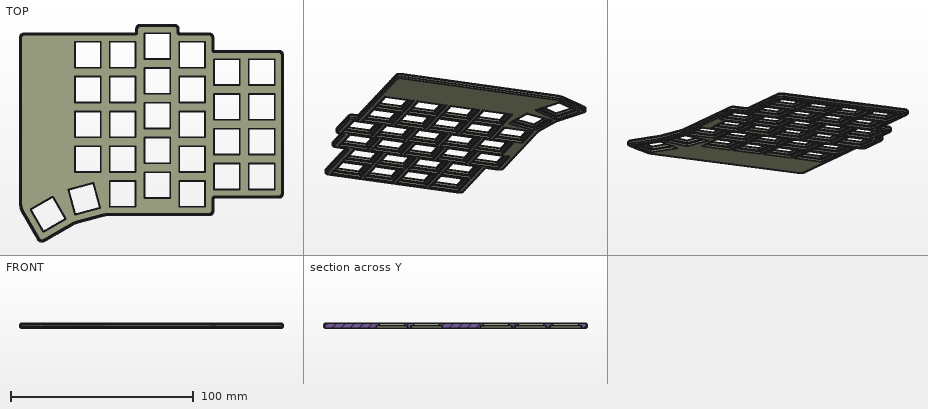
import cadquery as cq
import math

plate_width = 144.25
plate_depth = 118.98
plate_thickness = 2.8
key_pitch = 19.05
key_opening = 14.0
clip_thickness = 1.5
clip_relief = 17.0
edge_margin = 11.75
corner_radius = 2.5
inner_radius = 0.5
bend_radius = 10.0
edge_chamfer = 0.8

inner_thumb_offset = (-21.0, -2.67)
inner_thumb_angle = 15
outer_thumb_offset = (-40.8, -11.13)
outer_thumb_angle = 30

small_stagger = key_pitch / 4
large_stagger = 3 * small_stagger
columns = [
    (small_stagger, 4),
    (small_stagger, 5),
    (0, 5),
    (small_stagger, 5),
    (large_stagger, 4),
    (large_stagger, 4),
]
last_column_x = plate_width - edge_margin
first_column_x = last_column_x - (len(columns) - 1) * key_pitch
top_key_y = plate_depth - edge_margin


def column_x(index):
    return first_column_x + index * key_pitch


def key_y(stagger, row):
    return top_key_y - stagger - row * key_pitch


thumb_base_x = column_x(1)
thumb_base_y = key_y(small_stagger, 4)
inner_thumb = (thumb_base_x + inner_thumb_offset[0], thumb_base_y + inner_thumb_offset[1])
outer_thumb = (thumb_base_x + outer_thumb_offset[0], thumb_base_y + outer_thumb_offset[1])

peak_left_x = column_x(2) - edge_margin
peak_right_x = column_x(2) + edge_margin
step_x = column_x(3) + edge_margin
shoulder_y = top_key_y - small_stagger + edge_margin
wing_top_y = top_key_y - large_stagger + edge_margin
wing_bottom_y = key_y(large_stagger, 3) - edge_margin
main_bottom_y = key_y(small_stagger, 4) - edge_margin


def thumb_edge(centre, angle):
    """Point and direction of the outer edge below a thumb key."""
    a = math.radians(angle)
    point = (centre[0] + edge_margin * math.sin(a), centre[1] - edge_margin * math.cos(a))
    return point, (math.cos(a), math.sin(a))


def intersect(first, second):
    """Crossing point of two lines, each given as a point and a direction."""
    (px, py), (ux, uy) = first
    (qx, qy), (vx, vy) = second
    t = ((qx - px) * vy - (qy - py) * vx) / (ux * vy - uy * vx)
    return (px + t * ux, py + t * uy)


def outline_corners():
    """Sharp outline corners, clockwise from the upper left, each with its rounding radius."""
    left_edge = ((0, 0), (0, 1))
    bottom_edge = ((0, main_bottom_y), (1, 0))
    inner_edge = thumb_edge(inner_thumb, inner_thumb_angle)
    outer_edge = thumb_edge(outer_thumb, outer_thumb_angle)
    end_edge = thumb_edge(outer_thumb, outer_thumb_angle - 90)
    return [
        ((0, shoulder_y), corner_radius),
        ((peak_left_x, shoulder_y), inner_radius),
        ((peak_left_x, plate_depth), corner_radius),
        ((peak_right_x, plate_depth), corner_radius),
        ((peak_right_x, shoulder_y), inner_radius),
        ((step_x, shoulder_y), corner_radius),
        ((step_x, wing_top_y), inner_radius),
        ((plate_width, wing_top_y), corner_radius),
        ((plate_width, wing_bottom_y), corner_radius),
        ((step_x, wing_bottom_y), inner_radius),
        ((step_x, main_bottom_y), corner_radius),
        (intersect(bottom_edge, inner_edge), bend_radius),
        (intersect(inner_edge, outer_edge), bend_radius),
        (intersect(outer_edge, end_edge), corner_radius),
        (intersect(end_edge, left_edge), bend_radius),
    ]


def make_plate():
    corners = outline_corners()
    plate = cq.Workplane("XY").polyline([point for point, _ in corners]).close().extrude(plate_thickness)
    for (x, y), radius in corners:
        corner_edge = cq.selectors.NearestToPointSelector((x, y, plate_thickness / 2))
        plate = plate.edges("|Z").edges(corner_edge).fillet(radius)
    return plate.faces("<Z or >Z").edges().chamfer(edge_chamfer)


def square_prism(size, z_bottom, z_top):
    return cq.Workplane("XY").workplane(offset=z_bottom).rect(size, size).extrude(z_top - z_bottom)


def key_cutter(centre, angle=0):
    """Through opening for a switch, widened from below to leave a thin clip rim."""
    opening = square_prism(key_opening, 0, plate_thickness)
    relief = square_prism(clip_relief, 0, plate_thickness - clip_thickness)
    cutter = opening.union(relief)
    return cutter.rotate((0, 0, 0), (0, 0, 1), angle).translate((*centre, 0))


result = make_plate()
for index, (stagger, key_count) in enumerate(columns):
    for row in range(key_count):
        result = result.cut(key_cutter((column_x(index), key_y(stagger, row))))
result = result.cut(key_cutter(inner_thumb, inner_thumb_angle))
result = result.cut(key_cutter(outer_thumb, outer_thumb_angle))